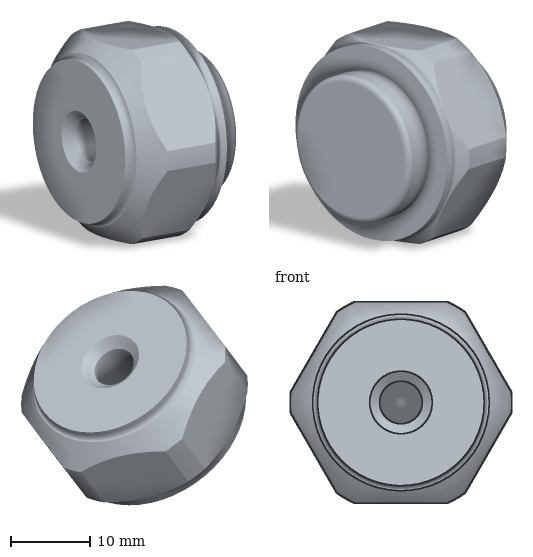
import cadquery as cq
import math


ACROSS_FLATS = 25.4
CORNER_DIAMETER = 27.94
NUT_LENGTH = 12.7
SEAT_DIAMETER = 25.23

BOSS_DIAMETER = 20.95
BOSS_LENGTH = 1.27
BOSS_FILLET = 0.635

HOLE_DIAMETER = 5.36
COUNTERSINK_DIAMETER = 7.87
COUNTERSINK_ANGLE = 90

WASHER_DIAMETER = SEAT_DIAMETER
WASHER_THICKNESS = 1.27
PLUG_DIAMETER = 19.05
PLUG_PROJECTION = 3.81
PLUG_FILLET = 0.76


def turned_nut_profile():
    """Half section of the round nut blank as (radius, y), to be revolved about Y."""
    corner_radius = CORNER_DIAMETER / 2
    seat_radius = SEAT_DIAMETER / 2
    boss_radius = BOSS_DIAMETER / 2
    shoulder_radius = boss_radius + BOSS_FILLET
    front_y = -NUT_LENGTH
    shoulder_y = front_y + BOSS_LENGTH
    fillet_end_y = shoulder_y - BOSS_FILLET
    rear_chamfer_y = -(corner_radius - seat_radius)
    front_chamfer_y = shoulder_y + corner_radius - shoulder_radius
    arc_offset = BOSS_FILLET * (1 - math.sqrt(0.5))
    fillet_middle = (boss_radius + arc_offset, shoulder_y - arc_offset)
    return (
        cq.Workplane("XY")
        .moveTo(0, 0)
        .lineTo(seat_radius, 0)
        .lineTo(corner_radius, rear_chamfer_y)
        .lineTo(corner_radius, front_chamfer_y)
        .lineTo(shoulder_radius, shoulder_y)
        .threePointArc(fillet_middle, (boss_radius, fillet_end_y))
        .lineTo(boss_radius, front_y)
        .lineTo(0, front_y)
        .close()
    )


def make_nut():
    """Hex nut with a front boss and a countersunk hole through it."""
    blank = turned_nut_profile().revolve(360, (0, 0, 0), (0, 1, 0))
    across_corners = ACROSS_FLATS / math.cos(math.pi / 6)
    hexagon = cq.Workplane("XZ").polygon(6, across_corners).extrude(NUT_LENGTH)
    return (
        blank.intersect(hexagon)
        .faces("<Y")
        .workplane()
        .cskHole(HOLE_DIAMETER, COUNTERSINK_DIAMETER, COUNTERSINK_ANGLE)
    )


def make_washer():
    """Flat ring on the nut's seat, fitting round the plug."""
    return (
        cq.Workplane("XZ")
        .circle(WASHER_DIAMETER / 2)
        .circle(PLUG_DIAMETER / 2)
        .extrude(-WASHER_THICKNESS)
    )


def make_plug():
    """Cylinder through the washer, resting on the nut's seat, with a rounded rear rim."""
    return (
        cq.Workplane("XZ")
        .circle(PLUG_DIAMETER / 2)
        .extrude(-(WASHER_THICKNESS + PLUG_PROJECTION))
        .faces(">Y")
        .edges()
        .fillet(PLUG_FILLET)
    )


nut = make_nut()
washer = make_washer()
plug = make_plug()

result = cq.Compound.makeCompound([nut.val(), washer.val(), plug.val()])